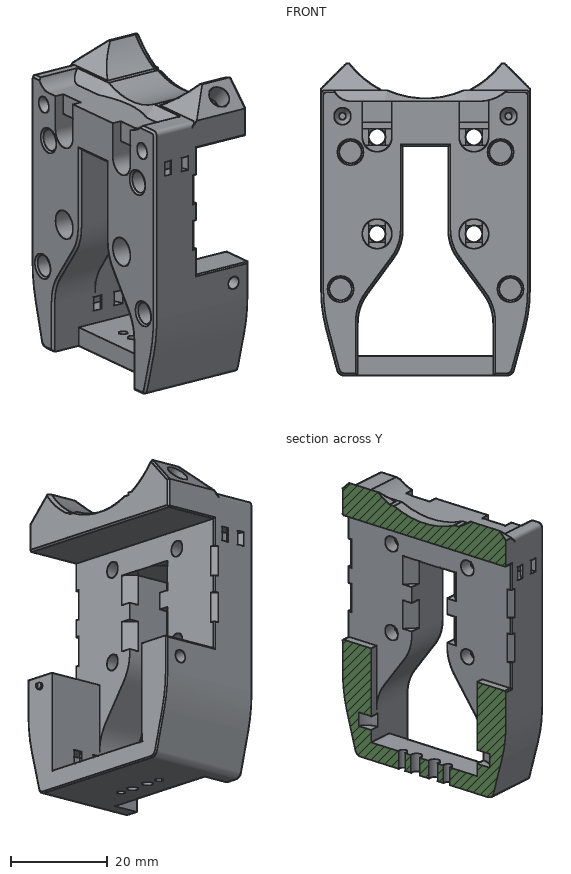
import cadquery as cq
import math

WIDTH = 43.2
HALF_WIDTH = WIDTH / 2
BODY_DEPTH = 24.0
BODY_HEIGHT = 59.0
TOTAL_HEIGHT = 64.53
TOTAL_DEPTH = 25.0

TAPER_START_Z = 17.7
TAPER_ANGLE = math.radians(15)
TAPER_RADIUS = 31.5
FOOT_FILLET = 1.6
TOP_CORNER_FILLET = 1.0
FRONT_CHAMFER = 0.5
BACK_CHAMFER = 0.3

WALL_DEPTH = 10.8
LEG_TOP_Z = 25.3
CLAMP_BOTTOM_Z = 53.2
CLAMP_BACK_Y = 23.5
CLAMP_CHAMFER = 0.4

SLOT_HALF_WIDTH = 4.65
SLOT_TOP_Z = 47.35
SLOT_BEND_Z = 26.9
FOOT_HALF_GAP = 13.95
FOOT_BEND_Z = 14.2
SLOT_BEND_RADIUS = 10.0
FLOOR_THICKNESS = 4.1
FLOOR_FRONT_Y = 6.6

SLOPE_OFFSET = 48.5
SLOPE_END_Z = 58.1
SHOULDER_Z = 59.25
SEAT_CENTER_Z = 76.8
SADDLE_RADIUS = 19.5
WING_RADIUS = 20.0
SEAT_FLARE_LENGTH = 1.0
SEAT_FLARE_RISE = 0.5
WING_HOLE_DIAMETER = 4.6
WING_HOLE_DEPTH = 5.0
WING_HOLE_Y = 18.5
WING_HOLE_X = 18.85

RECESS_FLOOR_Z = 56.7
RECESS_DEPTH = 7.6
RECESS_LEFT_END = -18.9
RECESS_LEFT_TANGENT = -15.5
RECESS_RIGHT_TANGENT = 11.2
RECESS_RIGHT_END = 16.9

SCREW_X = 10.0
UPPER_SCREW_Z = 49.3
LOWER_SCREW_Z = 29.3
SCREW_DIAMETER = 3.4
SCREW_HEAD_DIAMETER = 6.1
SCREW_HEAD_DEPTH = 7.0
BRIDGE_STEP = 0.3
ACCESS_SLOT_DEPTH = 2.0

MAGNET_DIAMETER = 4.6
MAGNET_DEPTH = 5.0
MAGNET_CHAMFER = 0.4
MAGNET_POSITIONS = ((15.5, 46.2), (17.55, 17.9))
CONE_X = 17.15
CONE_Z = 53.6
CONE_DIAMETER = 3.5
CONE_TIP_DIAMETER = 1.43
CONE_DEPTH = 2.0

TIE_HEIGHT = 3.0
SIDE_TIE_OUTER_DIAMETER = 6.0
SIDE_TIE_INNER_DIAMETER = 2.7
LEG_TIE_OUTER_DIAMETER = 7.4
LEG_TIE_INNER_DIAMETER = 3.2
SIDE_TIE_Y = 5.6
SIDE_TIE_Z = 50.4
LEG_TIE_Y = 14.15
LEG_TIE_Z = 8.4

OUTER_NOTCH_DEPTH = 1.1
SLOT_NOTCH_DEPTH = 2.4
NOTCH_HEIGHT = 6.4
NOTCH_CENTERS_Z = (34.2, 44.2)

SIDE_HOLE_DIAMETER = 2.7
SIDE_HOLE_DEPTH = 5.0
SIDE_HOLE_Y = 20.2
SIDE_HOLE_Z = 21.5
FLOOR_HOLES_Y = 12.1
FLOOR_HOLES = ((2.35, 2.38), (5.9, 1.8))
PIN_X = 17.6
PIN_Z = 23.2
PIN_DIAMETER = 1.43
PIN_TIP_DIAMETER = 0.7
PIN_STRAIGHT = 0.4
PIN_ROOT = 1.0

CLEARANCE = 5.0
SELECT_MARGIN = 0.1
SIDES = (-1, 1)


def box(x0, x1, y0, y1, z0, z1):
    return cq.Workplane("XY").box(x1 - x0, y1 - y0, z1 - z0, centered=False).translate((x0, y0, z0))


def cylinder(start, direction, diameter, length):
    return cq.Workplane(obj=cq.Solid.makeCylinder(diameter / 2, length, start, direction))


def rod(x, z, diameter, y0, y1):
    """Cylinder along Y from y0 to y1."""
    return cylinder(cq.Vector(x, y0, z), cq.Vector(0, 1, 0), diameter, y1 - y0)


def cone(x, z, y0, y1, start_diameter, end_diameter):
    """Cone along Y from y0 to y1."""
    solid = cq.Solid.makeCone(
        start_diameter / 2, end_diameter / 2, y1 - y0, cq.Vector(x, y0, z), cq.Vector(0, 1, 0)
    )
    return cq.Workplane(obj=solid)


def along_y(outline, y0, y1):
    """Extrude a closed XZ outline from y0 to y1."""
    return outline.extrude(y0 - y1).translate((0, y0, 0))


def slot_cutter():
    slot = (
        cq.Workplane("XZ")
        .moveTo(-FOOT_HALF_GAP, -CLEARANCE)
        .lineTo(-FOOT_HALF_GAP, FOOT_BEND_Z)
        .lineTo(-SLOT_HALF_WIDTH, SLOT_BEND_Z)
        .lineTo(-SLOT_HALF_WIDTH, SLOT_TOP_Z)
        .lineTo(SLOT_HALF_WIDTH, SLOT_TOP_Z)
        .lineTo(SLOT_HALF_WIDTH, SLOT_BEND_Z)
        .lineTo(FOOT_HALF_GAP, FOOT_BEND_Z)
        .lineTo(FOOT_HALF_GAP, -CLEARANCE)
        .close()
    )
    cutter = along_y(slot, 0, WALL_DEPTH)
    for bend_z in (FOOT_BEND_Z, SLOT_BEND_Z):
        bend = cq.selectors.BoxSelector(
            (-WIDTH, -CLEARANCE, bend_z - SELECT_MARGIN), (WIDTH, BODY_DEPTH, bend_z + SELECT_MARGIN)
        )
        cutter = cutter.edges("|Y").edges(bend).fillet(SLOT_BEND_RADIUS)
    return cutter


def make_body():
    arc_end_x = HALF_WIDTH - TAPER_RADIUS * (1 - math.cos(TAPER_ANGLE))
    arc_end_z = TAPER_START_Z - TAPER_RADIUS * math.sin(TAPER_ANGLE)
    arc_mid_x = HALF_WIDTH - TAPER_RADIUS * (1 - math.cos(TAPER_ANGLE / 2))
    arc_mid_z = TAPER_START_Z - TAPER_RADIUS * math.sin(TAPER_ANGLE / 2)
    foot_x = arc_end_x - arc_end_z * math.tan(TAPER_ANGLE)
    outline = (
        cq.Workplane("XZ")
        .moveTo(foot_x, 0)
        .lineTo(arc_end_x, arc_end_z)
        .threePointArc((arc_mid_x, arc_mid_z), (HALF_WIDTH, TAPER_START_Z))
        .lineTo(HALF_WIDTH, BODY_HEIGHT)
        .lineTo(-HALF_WIDTH, BODY_HEIGHT)
        .lineTo(-HALF_WIDTH, TAPER_START_Z)
        .threePointArc((-arc_mid_x, arc_mid_z), (-arc_end_x, arc_end_z))
        .lineTo(-foot_x, 0)
        .close()
    )
    body = along_y(outline, 0, BODY_DEPTH)
    body = body.edges("|Y").edges("<Z").fillet(FOOT_FILLET)
    body = body.edges("|Y").edges(">Z").fillet(TOP_CORNER_FILLET)
    body = body.faces(">Y").edges().chamfer(BACK_CHAMFER)

    floor = box(-FOOT_HALF_GAP, FOOT_HALF_GAP, FLOOR_FRONT_Y, BODY_DEPTH, -CLEARANCE, FLOOR_THICKNESS)
    body = body.cut(slot_cutter().cut(floor))
    body = body.faces("<Y").edges().chamfer(FRONT_CHAMFER)
    body = body.cut(
        box(-FOOT_HALF_GAP, FOOT_HALF_GAP, WALL_DEPTH, TOTAL_DEPTH, FLOOR_THICKNESS, LEG_TOP_Z)
    )
    return body.cut(box(-WIDTH, WIDTH, WALL_DEPTH, TOTAL_DEPTH, LEG_TOP_Z, TOTAL_HEIGHT))


def make_clamp():
    side = (
        cq.Workplane("YZ")
        .moveTo(SLOPE_END_Z - SLOPE_OFFSET, CLAMP_BOTTOM_Z)
        .lineTo(CLAMP_BACK_Y, CLAMP_BOTTOM_Z)
        .lineTo(CLAMP_BACK_Y, TOTAL_HEIGHT)
        .lineTo(TOTAL_HEIGHT - SLOPE_OFFSET, TOTAL_HEIGHT)
        .lineTo(SLOPE_END_Z - SLOPE_OFFSET, SLOPE_END_Z)
        .close()
        .extrude(HALF_WIDTH, both=True)
    )
    tip_x = HALF_WIDTH - (TOTAL_HEIGHT - SHOULDER_Z)
    front = (
        cq.Workplane("XZ")
        .moveTo(-HALF_WIDTH, CLAMP_BOTTOM_Z)
        .lineTo(-HALF_WIDTH, SHOULDER_Z)
        .lineTo(-tip_x, TOTAL_HEIGHT)
        .lineTo(tip_x, TOTAL_HEIGHT)
        .lineTo(HALF_WIDTH, SHOULDER_Z)
        .lineTo(HALF_WIDTH, CLAMP_BOTTOM_Z)
        .close()
    )
    clamp = side.intersect(along_y(front, 0, BODY_DEPTH)).faces(">Y").edges().chamfer(CLAMP_CHAMFER)
    above_body = box(-WIDTH, WIDTH, 0, TOTAL_DEPTH, BODY_HEIGHT, 2 * TOTAL_HEIGHT)
    return clamp.cut(seat_cutter(WING_RADIUS).intersect(above_body))


def seat_cutter(radius):
    """Round seat along Y that flares out at the back of the clamp."""
    flare_start = CLAMP_BACK_Y - SEAT_FLARE_LENGTH
    cutter = rod(0, SEAT_CENTER_Z, 2 * radius, 0, CLAMP_BACK_Y)
    flare_diameter = 2 * (radius + SEAT_FLARE_RISE)
    return cutter.union(cone(0, SEAT_CENTER_Z, flare_start, CLAMP_BACK_Y, 2 * radius, flare_diameter))


def land_flare_cutter():
    """Bevel that continues the seat flare across the flat lands between saddle and wings."""
    land_end_x = math.sqrt(WING_RADIUS ** 2 - (SEAT_CENTER_Z - BODY_HEIGHT) ** 2)
    return (
        cq.Workplane("YZ")
        .moveTo(CLAMP_BACK_Y - SEAT_FLARE_LENGTH, BODY_HEIGHT)
        .lineTo(CLAMP_BACK_Y, BODY_HEIGHT)
        .lineTo(CLAMP_BACK_Y, BODY_HEIGHT - SEAT_FLARE_RISE)
        .close()
        .extrude(land_end_x, both=True)
    )


def chamfer_opening(part):
    """Break the outer side edges of the C-shaped opening in the back."""
    for side in SIDES:
        x0 = side * HALF_WIDTH - SELECT_MARGIN
        x1 = side * HALF_WIDTH + SELECT_MARGIN
        opening = cq.selectors.BoxSelector(
            (x0, WALL_DEPTH - SELECT_MARGIN, LEG_TOP_Z - SELECT_MARGIN),
            (x1, BODY_DEPTH, CLAMP_BOTTOM_Z + SELECT_MARGIN),
        )
        part = part.edges(opening).chamfer(BACK_CHAMFER)
    return part


def recess_cutter():
    height = BODY_HEIGHT - RECESS_FLOOR_Z

    def end_arc(tangent_x, end_x):
        """Middle point of the arc that rises from the recess floor to the top."""
        run = abs(end_x - tangent_x)
        radius = (run ** 2 + height ** 2) / (2 * height)
        half_angle = math.asin(run / radius) / 2
        direction = math.copysign(1, end_x)
        x = tangent_x + direction * radius * math.sin(half_angle)
        return (x, RECESS_FLOOR_Z + radius * (1 - math.cos(half_angle)))

    outline = (
        cq.Workplane("XZ")
        .moveTo(RECESS_LEFT_END, BODY_HEIGHT)
        .threePointArc(end_arc(RECESS_LEFT_TANGENT, RECESS_LEFT_END), (RECESS_LEFT_TANGENT, RECESS_FLOOR_Z))
        .lineTo(RECESS_RIGHT_TANGENT, RECESS_FLOOR_Z)
        .threePointArc(end_arc(RECESS_RIGHT_TANGENT, RECESS_RIGHT_END), (RECESS_RIGHT_END, BODY_HEIGHT))
        .close()
    )
    sloped_back = (
        cq.Workplane("YZ")
        .moveTo(0, RECESS_FLOOR_Z)
        .lineTo(RECESS_DEPTH, RECESS_FLOOR_Z)
        .lineTo(RECESS_DEPTH + height, BODY_HEIGHT)
        .lineTo(0, BODY_HEIGHT)
        .close()
        .extrude(HALF_WIDTH, both=True)
    )
    return along_y(outline, 0, BODY_DEPTH).intersect(sloped_back)


def saddle_lead_in():
    """Conical bevel that carries the sloped back of the recess round the saddle."""
    height = BODY_HEIGHT - RECESS_FLOOR_Z
    bevel = cone(
        0, SEAT_CENTER_Z, RECESS_DEPTH, RECESS_DEPTH + height, 2 * (SADDLE_RADIUS + height), 2 * SADDLE_RADIUS
    )
    return bevel.intersect(box(-WIDTH, WIDTH, 0, BODY_DEPTH, RECESS_FLOOR_Z, TOTAL_HEIGHT))


def screw_cutter(x, z, strip_is_vertical):
    """Screw hole whose head bore steps down over a strip and a square to the hole."""
    head_radius = SCREW_HEAD_DIAMETER / 2
    half_hole = SCREW_DIAMETER / 2
    head = rod(x, z, SCREW_HEAD_DIAMETER, 0, SCREW_HEAD_DEPTH)
    strip_depth = SCREW_HEAD_DEPTH + BRIDGE_STEP
    strip_blank = rod(x, z, SCREW_HEAD_DIAMETER, 0, strip_depth)
    half_strip = (half_hole, head_radius) if strip_is_vertical else (head_radius, half_hole)
    if not strip_is_vertical:
        left = x - head_radius
        right = x + head_radius
        head = head.union(box(left, right, 0, SCREW_HEAD_DEPTH, z, z + head_radius))
        head = head.union(box(left, right, 0, ACCESS_SLOT_DEPTH, z, BODY_HEIGHT))
        strip_blank = strip_blank.union(box(left, right, 0, strip_depth, z, z + head_radius))
    strip_bounds = box(
        x - half_strip[0], x + half_strip[0], 0, BODY_DEPTH, z - half_strip[1], z + half_strip[1]
    )
    square_depth = strip_depth + BRIDGE_STEP
    square = box(x - half_hole, x + half_hole, 0, square_depth, z - half_hole, z + half_hole)
    hole = rod(x, z, SCREW_DIAMETER, 0, WALL_DEPTH + CLEARANCE)
    return head.union(strip_blank.intersect(strip_bounds)).union(square).union(hole)


def magnet_cutter(x, z):
    rim = MAGNET_DIAMETER + 2 * MAGNET_CHAMFER
    return rod(x, z, MAGNET_DIAMETER, 0, MAGNET_DEPTH).union(
        cone(x, z, 0, MAGNET_CHAMFER, rim, MAGNET_DIAMETER)
    )


def tie_cutter(x, y, z, outer_diameter, inner_diameter):
    """Ring channel centred on a wall face, so both of its ends open in that face."""
    return (
        cq.Workplane("XY")
        .circle(outer_diameter / 2)
        .circle(inner_diameter / 2)
        .extrude(TIE_HEIGHT)
        .translate((x, y, z - TIE_HEIGHT / 2))
    )


def notch_cutter(edge_x, z, depth):
    """45 degree notch on a vertical back edge of the wall."""
    return (
        cq.Workplane("XY")
        .moveTo(edge_x - depth, WALL_DEPTH)
        .lineTo(edge_x, WALL_DEPTH - depth)
        .lineTo(edge_x + depth, WALL_DEPTH)
        .close()
        .extrude(NOTCH_HEIGHT)
        .translate((0, 0, z - NOTCH_HEIGHT / 2))
    )


def wing_hole_cutter(side):
    """Blind hole square to the sloped outer face of a wing."""
    z = SHOULDER_Z + HALF_WIDTH - WING_HOLE_X
    inward = cq.Vector(-side, 0, -1).normalized()
    mouth = cq.Vector(side * WING_HOLE_X, WING_HOLE_Y, z)
    start = mouth - inward * CLEARANCE
    return cylinder(start, inward, WING_HOLE_DIAMETER, WING_HOLE_DEPTH + CLEARANCE)


def side_hole_cutter(side):
    """Blind hole in the outer face of a leg."""
    start = cq.Vector(side * HALF_WIDTH, SIDE_HOLE_Y, SIDE_HOLE_Z)
    return cylinder(start, cq.Vector(-side, 0, 0), SIDE_HOLE_DIAMETER, SIDE_HOLE_DEPTH)


def floor_hole_cutter(x, diameter):
    return cylinder(cq.Vector(x, FLOOR_HOLES_Y, 0), cq.Vector(0, 0, 1), diameter, FLOOR_THICKNESS)


def make_pin():
    """Locating pin with a conical tip on the back of the right leg."""
    straight_end = BODY_DEPTH + PIN_STRAIGHT
    shaft = rod(PIN_X, PIN_Z, PIN_DIAMETER, BODY_DEPTH - PIN_ROOT, straight_end)
    return shaft.union(cone(PIN_X, PIN_Z, straight_end, TOTAL_DEPTH, PIN_DIAMETER, PIN_TIP_DIAMETER))


part = chamfer_opening(make_body().union(make_clamp()))
part = part.cut(seat_cutter(SADDLE_RADIUS))
part = part.cut(land_flare_cutter())
part = part.cut(recess_cutter())
part = part.cut(saddle_lead_in())

for side in SIDES:
    part = part.cut(wing_hole_cutter(side))
    part = part.cut(screw_cutter(side * SCREW_X, UPPER_SCREW_Z, strip_is_vertical=False))
    part = part.cut(screw_cutter(side * SCREW_X, LOWER_SCREW_Z, strip_is_vertical=True))
    for magnet_x, magnet_z in MAGNET_POSITIONS:
        part = part.cut(magnet_cutter(side * magnet_x, magnet_z))
    part = part.cut(cone(side * CONE_X, CONE_Z, 0, CONE_DEPTH, CONE_DIAMETER, CONE_TIP_DIAMETER))
    side_tie = tie_cutter(
        side * HALF_WIDTH, SIDE_TIE_Y, SIDE_TIE_Z, SIDE_TIE_OUTER_DIAMETER, SIDE_TIE_INNER_DIAMETER
    )
    part = part.cut(side_tie)
    leg_tie = tie_cutter(
        side * FOOT_HALF_GAP, LEG_TIE_Y, LEG_TIE_Z, LEG_TIE_OUTER_DIAMETER, LEG_TIE_INNER_DIAMETER
    )
    part = part.cut(leg_tie)
    for notch_z in NOTCH_CENTERS_Z:
        part = part.cut(notch_cutter(side * HALF_WIDTH, notch_z, OUTER_NOTCH_DEPTH))
        part = part.cut(notch_cutter(side * SLOT_HALF_WIDTH, notch_z, SLOT_NOTCH_DEPTH))
    part = part.cut(side_hole_cutter(side))
    for floor_hole_x, diameter in FLOOR_HOLES:
        part = part.cut(floor_hole_cutter(side * floor_hole_x, diameter))

result = part.union(make_pin())